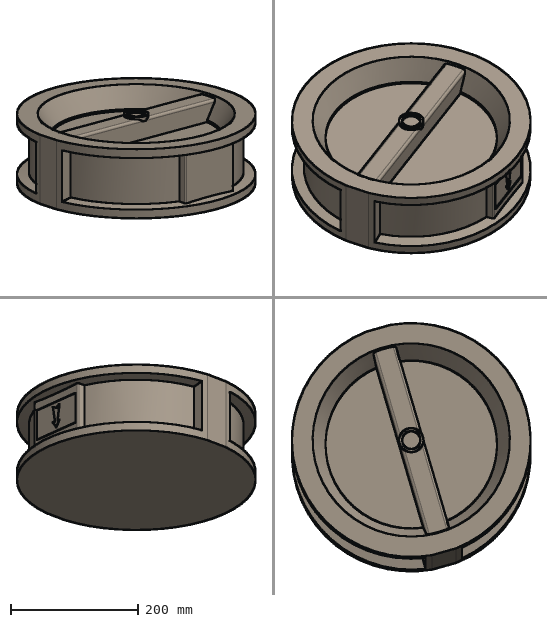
import cadquery as cq
import math

outer_radius = 187.5
height = 114.0
core_radius = 168.8
rim_thickness = 14.5
flange_slope = 10.0
root_thickness = rim_thickness + (outer_radius - core_radius) * math.tan(math.radians(flange_slope))
mid_height = height / 2

rib_width = 60.0
flat_width = 39.5
flat_distance = math.sqrt(outer_radius**2 - (flat_width / 2) ** 2)

pad_reach = 171.5
pad_face_width = 101.2
pad_root_width = 107.2
pad_edge_radius = 3.0
pad_root_reach = math.sqrt(core_radius**2 - (pad_root_width / 2) ** 2)

panel_width = 89.2
panel_height = 51.0
panel_depth = 0.8
arrow_length = 38.0
arrow_width = 15.5
arrow_head_length = 11.2
arrow_neck_width = 6.0
arrow_notch = 4.0

bowl_top_radius = 155.0
bowl_bottom_radius = 134.5
cone_depth = 34.5
floor_depth = 37.5

bar_width = 37.5
bar_drop = 3.5
bar_edge_radius = 4.5
ring_outer_radius = 19.0
ring_inner_radius = 14.2


def make_spool():
    """Waist with a tapered flange at each end."""
    profile = [
        (0, 0),
        (outer_radius, 0),
        (outer_radius, rim_thickness),
        (core_radius, root_thickness),
        (core_radius, height - root_thickness),
        (outer_radius, height - rim_thickness),
        (outer_radius, height),
        (0, height),
    ]
    return cq.Workplane("XZ").polyline(profile).close().revolve(360, (0, 0), (0, 1))


def make_ribs():
    """Full-height ribs at +Y and -Y, following the flange outline."""
    band = cq.Workplane("XY").box(rib_width, 2 * outer_radius, height, centered=(True, True, False))
    return band.intersect(cq.Workplane("XY").circle(outer_radius).extrude(height))


def trim_flats(body):
    """Cut the outer flats on both Y sides."""
    slab = cq.Workplane("XY").box(2 * outer_radius, 2 * flat_distance, height, centered=(True, True, False))
    return body.intersect(slab)


def make_pads():
    """Pads on both X sides, with tapered sides and rounded outer edges."""
    face = pad_face_width / 2
    root = pad_root_width / 2
    outline = [
        (pad_reach, -face),
        (pad_reach, face),
        (pad_root_reach, root),
        (-pad_root_reach, root),
        (-pad_reach, face),
        (-pad_reach, -face),
        (-pad_root_reach, -root),
        (pad_root_reach, -root),
    ]
    block = cq.Workplane("XY").workplane(offset=rim_thickness).polyline(outline).close()
    block = block.extrude(height - 2 * rim_thickness)
    corners = block.faces("<X or >X").edges("|Z")
    return corners.fillet(pad_edge_radius)


def make_panel_recess():
    """Material removed from the -X pad, leaving the flow arrow standing."""
    start = -pad_reach
    panel = cq.Workplane("YZ", origin=(start, 0, mid_height)).rect(panel_width, panel_height)
    half_length = arrow_length / 2
    half_width = arrow_width / 2
    half_neck = arrow_neck_width / 2
    head_top = arrow_head_length - half_length
    arrow_outline = [
        (0, -half_length),
        (half_width, head_top),
        (half_neck, head_top),
        (half_width, half_length),
        (0, half_length - arrow_notch),
        (-half_width, half_length),
        (-half_neck, head_top),
        (-half_width, head_top),
    ]
    arrow = cq.Workplane("YZ", origin=(start, 0, mid_height)).polyline(arrow_outline).close()
    return panel.extrude(panel_depth).cut(arrow.extrude(panel_depth))


def make_bowl():
    """Conical bowl with a short straight wall above its floor."""
    profile = [
        (0, height),
        (bowl_top_radius, height),
        (bowl_bottom_radius, height - cone_depth),
        (bowl_bottom_radius, height - floor_depth),
        (0, height - floor_depth),
    ]
    return cq.Workplane("XZ").polyline(profile).close().revolve(360, (0, 0), (0, 1))


def make_bar(bowl):
    """Bar with rounded top edges, ending on the bowl wall."""
    bar = cq.Workplane("XY", origin=(0, 0, height - floor_depth)).box(
        bar_width, 2 * bowl_top_radius, floor_depth - bar_drop, centered=(True, True, False)
    )
    bar = bar.edges("|Y and >Z").fillet(bar_edge_radius)
    return bar.intersect(bowl)


def make_ring():
    """Ring flush with the top face, its foot sunk in the bar as deep as the rounded edges."""
    ring_depth = bar_drop + bar_edge_radius
    post = cq.Workplane("XY").workplane(offset=height - ring_depth)
    post = post.circle(ring_outer_radius).extrude(ring_depth)
    hollow = cq.Workplane("XY").workplane(offset=height - bar_drop)
    hollow = hollow.circle(ring_inner_radius).extrude(bar_drop)
    return post.cut(hollow)


bowl = make_bowl()
body = trim_flats(make_spool().union(make_ribs()))
body = body.union(make_pads()).cut(make_panel_recess())
result = body.cut(bowl).union(make_bar(bowl)).union(make_ring())